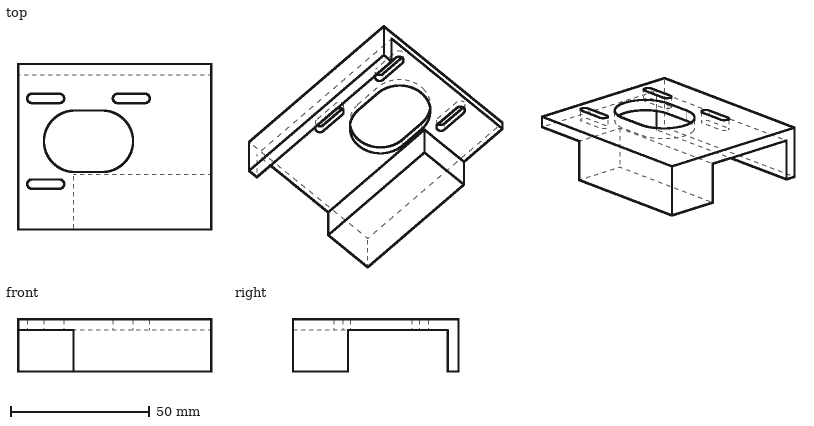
import cadquery as cq

length = 70.0
width = 60.0
height = 19.0
plate_thickness = 4.0
leg_height = height - plate_thickness

wall_thickness = 4.0
block_width = 20.0
block_start_x = 20.0

motor_x = 25.5
motor_y = 32.0
bolt_spacing = 31.0
travel = 10.0
bolt_slot_width = 3.3
pilot_slot_width = 22.2


def corner_box(size_x, size_y, size_z, x=0.0, y=0.0, z=0.0):
    """Box placed by its lowest X, Y, Z corner."""
    return cq.Workplane("XY").box(size_x, size_y, size_z, centered=False).translate((x, y, z))


def slot_cutter(slot_width, centers):
    """Round-ended slots along X through the plate, lengthened by the motor travel."""
    return (
        cq.Workplane("XY")
        .workplane(offset=leg_height)
        .pushPoints(centers)
        .slot2D(slot_width + travel, slot_width)
        .extrude(plate_thickness)
    )


plate = corner_box(length, width, plate_thickness, z=leg_height)

rear_wall = corner_box(length, wall_thickness, leg_height, y=width - wall_thickness)

front_block = corner_box(length - block_start_x, block_width, leg_height, x=block_start_x)

left_x = motor_x - bolt_spacing / 2
right_x = motor_x + bolt_spacing / 2
front_y = motor_y - bolt_spacing / 2
rear_y = motor_y + bolt_spacing / 2
bolt_centers = [(left_x, front_y), (left_x, rear_y), (right_x, rear_y)]

bolt_slots = slot_cutter(bolt_slot_width, bolt_centers)
pilot_slot = slot_cutter(pilot_slot_width, [(motor_x, motor_y)])

result = plate.union(rear_wall).union(front_block).cut(bolt_slots).cut(pilot_slot)